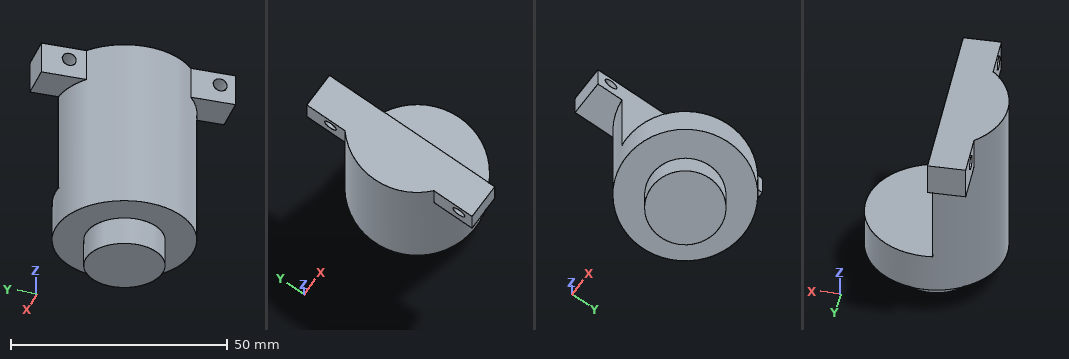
import cadquery as cq

total_height = 50.0
body_diameter = 33.5
boss_diameter = 18.8
boss_height = 7.0
disc_height = 10.0
flat_x = -2.0

bar_length = 47.0
bar_width = 9.0
bar_height = 8.0
hole_diameter = 3.3
hole_spacing = 36.5
hole_shift = -1.5
hole_drop = 3.25

disc_top = boss_height + disc_height
column_height = total_height - disc_top


def cylinder(diameter, height, bottom):
    return cq.Workplane("XY").workplane(offset=bottom).circle(diameter / 2).extrude(height)


def make_column():
    """Segment of the round body left of the flat face."""
    keep = cq.Workplane("XY").box(
        body_diameter, body_diameter, column_height, centered=(False, True, False)
    ).translate((flat_x - body_diameter, 0, disc_top))
    return cylinder(body_diameter, column_height, disc_top).intersect(keep)


def make_bar():
    """Cross bar whose inner face is flush with the column flat."""
    return cq.Workplane("XY").box(
        bar_width, bar_length, bar_height, centered=(False, True, False)
    ).translate((flat_x - bar_width, 0, total_height - bar_height))


def make_holes():
    """Pair of holes through the bar ends along X."""
    hole_z = total_height - hole_drop
    return (
        cq.Workplane("YZ")
        .workplane(offset=flat_x - bar_width)
        .pushPoints([(hole_shift + side * hole_spacing / 2, hole_z) for side in (-1, 1)])
        .circle(hole_diameter / 2)
        .extrude(bar_width)
    )


boss = cylinder(boss_diameter, boss_height, 0)
disc = cylinder(body_diameter, disc_height, boss_height)
result = boss.union(disc).union(make_column()).union(make_bar()).cut(make_holes())